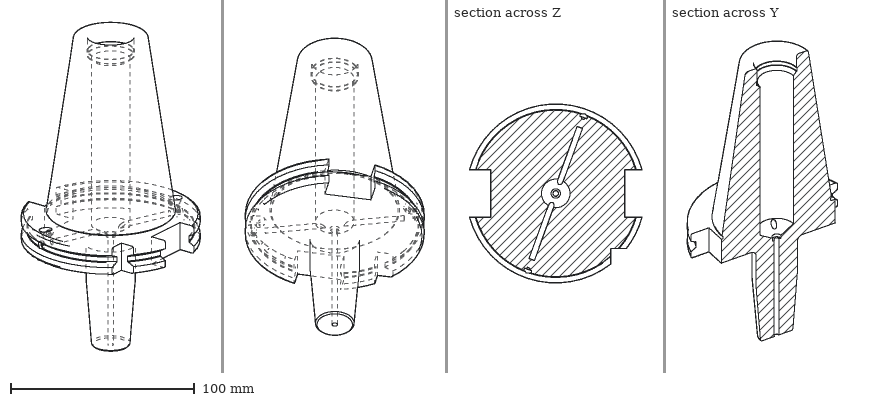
import cadquery as cq
import math

total_height = 181.8
gauge_height = 80.0
flange_top = 76.9
flange_height = 16.0
flange_bottom = flange_top - flange_height
nose_taper_height = 38.2

gauge_radius = 35.0
taper_slope = 7 / 24 / 2
taper_end_fillet = 2.0
lip_height = 78.9
lip_radius = gauge_radius + taper_slope * (gauge_height - lip_height)
taper_end_radius = gauge_radius - taper_slope * (total_height - gauge_height)
neck_radius = 34.5
neck_height = lip_height - (lip_radius - neck_radius)
neck_fillet = 0.5

flange_radius = 48.7
flange_edge_fillet = 1.3
groove_root_radius = 45.5
groove_height = 68.7
groove_root_width = 3.3
groove_root_fillet = 0.5
groove_flank_angle = 30.0
groove_flank_height = (flange_radius - groove_root_radius) * math.tan(math.radians(groove_flank_angle))
groove_mouth_width = groove_root_width + 2 * groove_flank_height

shank_radius = 13.5
shank_fillet = 2.9
nose_radius = 10.5
nose_chamfer = 0.9

slot_width = 25.6
slot_floor_left = 35.5
slot_floor_right = 37.6
notch_offset = 30.0

bore_radius = 12.5
bore_depth = 8.9
bore_relief_radius = 12.9
bore_relief_width = 2.5
bore_mouth_fillet = 1.6
thread_radius = 10.5
bore_step_height = bore_radius - thread_radius
drill_point_angle = 118.0
passage_step_radius = 2.5
passage_step_depth = 1.8
passage_radius = 1.5

coolant_angles = (70.0, 250.0)
flange_hole_reach = 42.2
flange_hole_radius = 3.0
flange_hole_tilt = 31.0
flange_hole_depth = 3.3
flange_socket_radius = 1.5
flange_socket_depth = 1.0
groove_hole_radius = 2.0
groove_hole_depth = 1.5
groove_socket_radius = 0.7
groove_socket_depth = 0.9
cross_passage_radius = 1.5
passage_reach = 7.6
passage_end_reach = 38.2

surface_overrun = 3.6

edge_tolerance = 0.02


def make_body():
    """Revolve the outer profile, then soften the edges."""
    groove_top = groove_height + groove_mouth_width / 2
    groove_bottom = groove_height - groove_mouth_width / 2
    root_top = groove_height + groove_root_width / 2
    root_bottom = groove_height - groove_root_width / 2
    profile = [
        (0, 0),
        (nose_radius - nose_chamfer, 0),
        (nose_radius, nose_chamfer),
        (shank_radius, nose_taper_height),
        (shank_radius, flange_bottom),
        (flange_radius, flange_bottom),
        (flange_radius, groove_bottom),
        (groove_root_radius, root_bottom),
        (groove_root_radius, root_top),
        (flange_radius, groove_top),
        (flange_radius, flange_top),
        (neck_radius, flange_top),
        (neck_radius, neck_height),
        (lip_radius, lip_height),
        (taper_end_radius, total_height),
        (0, total_height),
    ]
    body = cq.Workplane("XZ").polyline(profile).close().revolve(360, (0, 0), (0, 1))
    rounded_circles = [
        (flange_radius, flange_top, flange_edge_fillet),
        (flange_radius, flange_bottom, flange_edge_fillet),
        (groove_root_radius, root_top, groove_root_fillet),
        (groove_root_radius, root_bottom, groove_root_fillet),
        (shank_radius, flange_bottom, shank_fillet),
        (neck_radius, flange_top, neck_fillet),
        (taper_end_radius, total_height, taper_end_fillet),
    ]
    for radius, height, fillet in rounded_circles:
        body = body.edges(at_circle(radius, height)).fillet(fillet)
    return body


def centred_box(half_width, height):
    """Select edges lying within a thin square slab about the axis at this height."""
    low = (-half_width, -half_width, height - edge_tolerance)
    high = (half_width, half_width, height + edge_tolerance)
    return cq.selectors.BoxSelector(low, high, boundingbox=True)


def at_circle(radius, height):
    """Select the circular edge of this radius about the axis at this height."""
    return centred_box(radius + edge_tolerance, height) - centred_box(radius - edge_tolerance, height)


def point_height(radius):
    """Height of the conical bore floor at this radius; the cross passages enter it at groove height."""
    return groove_height + (radius - passage_reach) / math.tan(math.radians(drill_point_angle / 2))


def make_bore():
    """Stepped bore with a drill-point floor and a fine passage down to the nose."""
    step_top = point_height(passage_step_radius)
    step_floor = step_top - passage_step_depth
    relief_top = total_height - bore_depth
    relief_floor = relief_top - bore_relief_width
    mouth_radius = bore_radius + bore_mouth_fillet
    mouth_floor = total_height - bore_mouth_fillet
    arc_inset = bore_mouth_fillet * math.sqrt(0.5)
    return (
        cq.Workplane("XZ")
        .moveTo(0, 0)
        .lineTo(passage_radius, 0)
        .lineTo(passage_radius, step_floor)
        .lineTo(passage_step_radius, step_floor)
        .lineTo(passage_step_radius, step_top)
        .lineTo(thread_radius, point_height(thread_radius))
        .lineTo(thread_radius, relief_floor - bore_step_height)
        .lineTo(bore_radius, relief_floor)
        .lineTo(bore_relief_radius, relief_floor)
        .lineTo(bore_relief_radius, relief_top)
        .lineTo(bore_radius, relief_top)
        .lineTo(bore_radius, mouth_floor)
        .threePointArc((mouth_radius - arc_inset, mouth_floor + arc_inset), (mouth_radius, total_height))
        .lineTo(0, total_height)
        .close()
        .revolve(360, (0, 0), (0, 1))
    )


def flange_block(x_min, x_max, y_min, y_max):
    """Cutting block over the full flange height."""
    block = cq.Workplane("XY").box(x_max - x_min, y_max - y_min, flange_height, centered=False)
    return block.translate((x_min, y_min, flange_bottom))


def drilled(point, direction, radius, depth, lead=0.0):
    """Cylinder drilled from a point, optionally started a little in front of it."""
    axis = cq.Vector(*direction)
    start = cq.Vector(*point) - axis * lead
    return cq.Workplane(cq.Solid.makeCylinder(radius, depth + lead, start, axis))


def make_coolant_cuts(angle):
    """Tilted flange hole, plugged groove hole and radial cross passage along +X, turned to the angle."""
    flange_tilt = math.radians(flange_hole_tilt)
    down_inward = (-math.sin(flange_tilt), 0, -math.cos(flange_tilt))
    mouth = (flange_hole_reach, 0, flange_top)
    flange_hole = drilled(mouth, down_inward, flange_hole_radius, flange_hole_depth, surface_overrun)
    flange_socket_end = flange_hole_depth + flange_socket_depth
    flange_socket = drilled(mouth, down_inward, flange_socket_radius, flange_socket_end)

    inward = (-1, 0, 0)
    groove_mouth = (groove_root_radius, 0, groove_height)
    groove_hole = drilled(groove_mouth, inward, groove_hole_radius, groove_hole_depth, surface_overrun)
    groove_socket_end = groove_hole_depth + groove_socket_depth
    groove_socket = drilled(groove_mouth, inward, groove_socket_radius, groove_socket_end)

    passage_end = (passage_end_reach, 0, groove_height)
    passage_length = passage_end_reach - passage_reach + surface_overrun
    passage = drilled(passage_end, inward, cross_passage_radius, passage_length)

    cuts = flange_hole.union(flange_socket).add(groove_hole.union(groove_socket)).add(passage)
    return cuts.combine().rotate((0, 0, 0), (0, 0, 1), angle)


result = make_body().cut(make_bore())
result = result.cut(flange_block(-flange_radius, -slot_floor_left, -slot_width / 2, slot_width / 2))
result = result.cut(flange_block(slot_floor_right, flange_radius, -slot_width / 2, slot_width / 2))
result = result.cut(flange_block(notch_offset, flange_radius, -flange_radius, -notch_offset))
for coolant_angle in coolant_angles:
    result = result.cut(make_coolant_cuts(coolant_angle))